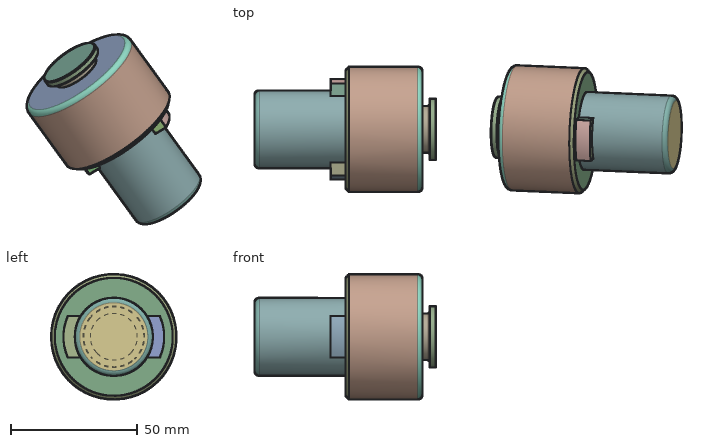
import cadquery as cq

pin_diameter = 31.0
pin_length = 36.1
pin_round = 2.0

body_diameter = 49.8
body_length = 30.6
body_chamfer = 1.5
body_round = 2.0

neck_diameter = 18.6
neck_length = 2.7
neck_fillet = 0.6

flange_diameter = 24.4
total_length = 72.1
flange_chamfer = 0.3

lug_outer_diameter = 40.0
lug_width = 16.4
lug_thickness = 5.8

body_start = pin_length
body_end = body_start + body_length
flange_start = body_end + neck_length
flange_length = total_length - flange_start


def disc(x_start, diameter, length):
    """Cylinder along +X starting at x_start."""
    plane = cq.Workplane("YZ", origin=(x_start, 0, 0))
    return plane.circle(diameter / 2).extrude(length)


def make_pin():
    return disc(0, pin_diameter, pin_length).faces("<X").edges().fillet(pin_round)


def make_body():
    body = disc(body_start, body_diameter, body_length)
    body = body.faces("<X").edges().chamfer(body_chamfer)
    return body.faces(">X").edges().fillet(body_round)


def make_collar():
    """Neck and end flange, with a fillet where they meet and chamfered flange rims."""
    neck_radius = neck_diameter / 2
    fillet_radius = neck_radius + neck_fillet
    arc_offset = neck_fillet * 0.5 ** 0.5
    fillet_middle = (flange_start - neck_fillet + arc_offset, fillet_radius - arc_offset)
    neck = (
        cq.Workplane("XY")
        .moveTo(body_end, 0)
        .lineTo(body_end, neck_radius)
        .lineTo(flange_start - neck_fillet, neck_radius)
        .threePointArc(fillet_middle, (flange_start, fillet_radius))
        .lineTo(flange_start, 0)
        .close()
        .revolve(360, (0, 0, 0), (1, 0, 0))
    )
    flange = disc(flange_start, flange_diameter, flange_length)
    flange = flange.faces("<X or >X").edges().chamfer(flange_chamfer)
    return neck.union(flange)


def make_lugs():
    """Two opposite lugs on +Y and -Y: a disc trimmed to a flat-sided bar across the pin."""
    lug_start = body_start - lug_thickness
    bar = (
        cq.Workplane("YZ", origin=(lug_start, 0, 0))
        .rect(lug_outer_diameter, lug_width)
        .extrude(lug_thickness)
    )
    return disc(lug_start, lug_outer_diameter, lug_thickness).intersect(bar)


result = make_pin().union(make_lugs()).union(make_body()).union(make_collar())